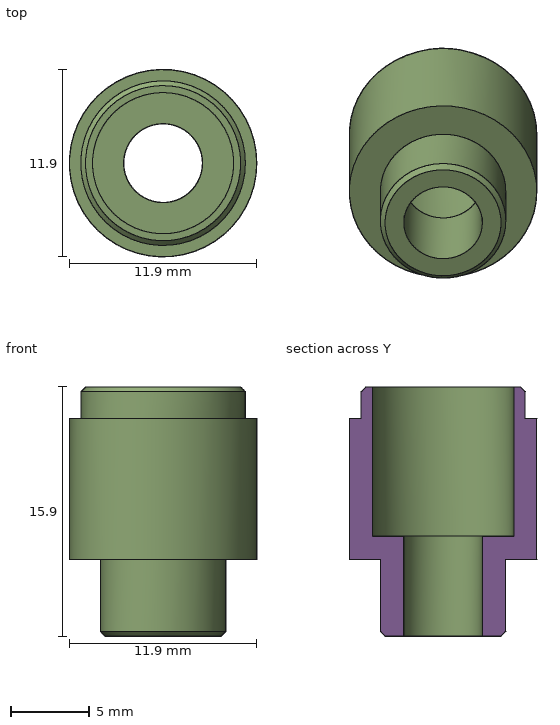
import cadquery as cq

total_height = 15.9
spigot_height = 4.9
collar_height = 2.0
body_height = total_height - spigot_height - collar_height

spigot_diameter = 8.0
body_diameter = 11.95
collar_diameter = 10.5
edge_chamfer = 0.3

through_diameter = 5.01
bore_diameter = 9.0
floor_thickness = (spigot_diameter - through_diameter) / 2
bore_floor = spigot_height + floor_thickness


def cylinder(diameter, height, base):
    """Vertical cylinder on the Z axis, starting at height base."""
    return cq.Workplane("XY").workplane(offset=base).circle(diameter / 2).extrude(height)


spigot = cylinder(spigot_diameter, spigot_height, 0).faces("<Z").chamfer(edge_chamfer)
body = cylinder(body_diameter, body_height, spigot_height)
collar = cylinder(collar_diameter, collar_height, spigot_height + body_height)
collar = collar.faces(">Z").chamfer(edge_chamfer)

through_hole = cylinder(through_diameter, total_height, 0)
wide_bore = cylinder(bore_diameter, total_height - bore_floor, bore_floor)

result = spigot.union(body).union(collar).cut(through_hole).cut(wide_bore)